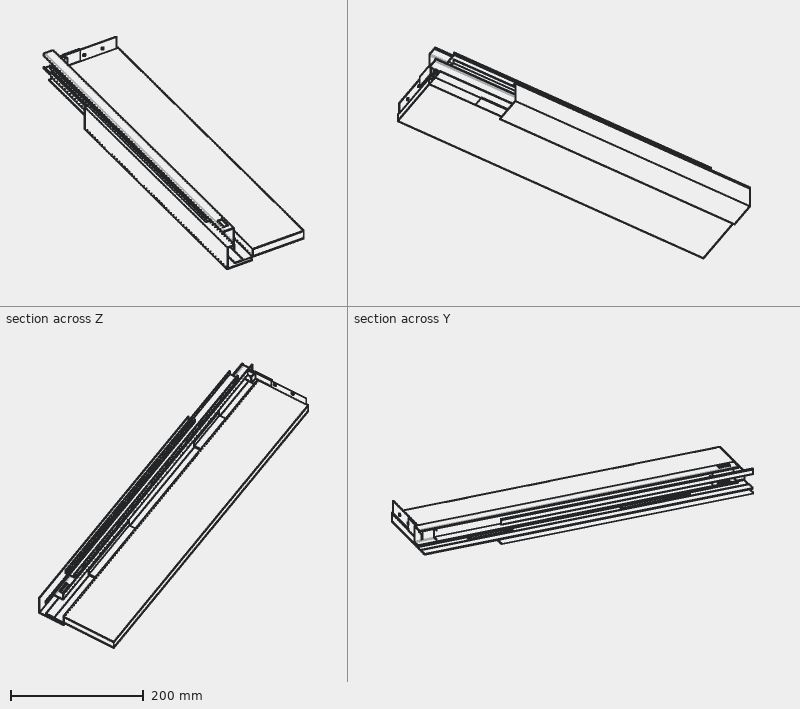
import cadquery as cq


SHEET = 1.5

BRACKET_X = (-140.0, 275.0)
BRACKET_OUTER_Y = -67.5
BRACKET_BOTTOM_Z = -26.0
BRACKET_TOP_Z = 15.5
BRACKET_FOOT_Y = -22.5
RUNNER_LEG_Y = -54.0
RUNNER_LEG_BOTTOM_Z = 6.0

MIDDLE_X = (-246.5, 208.5)
MIDDLE_WEB_Y = -46.0
MIDDLE_TOP_Z = 20.5
MIDDLE_BOTTOM_Z = 2.0
MIDDLE_LIP_Y = -64.0
MIDDLE_LIP_TOP_Z = 24.0
MIDDLE_LEG_Y = -62.5
MIDDLE_LEG_TOP_Z = 11.0

RAIL_X = (-276.0, 250.0)
RAIL_WEB_Y = -39.0
RAIL_LIP_Y = -58.0
RAIL_TOP_Z = 26.0
RAIL_BOTTOM_Z = -3.5
RAIL_LIP_HEIGHT = 4.0
RAIL_CORNER_RADIUS = 3.0
RAIL_INNER_RADIUS = RAIL_CORNER_RADIUS - SHEET

WINDOW_LENGTH = 18.0
WINDOW_END_DISTANCE = 10.0
WINDOW_Y = (-53.0, -44.0)
STOP_TAB_DEPTH = 1.5

TRAY_X = (-265.0, 276.0)
TRAY_BACK_Y = 67.5
TRAY_SIDE_Y = -23.0
TRAY_TOP_Z = -4.0
TRAY_BOTTOM_Z = -19.5
TRAY_GROOVE_Y = -39.0
TRAY_GROOVE_DEPTH = 1.0
TRAY_FLANGE_Y = -54.0

UPRIGHT_THICKNESS = 1.0
UPRIGHT_BACK_Y = 64.0
UPRIGHT_SIDE_Y = -28.5
UPRIGHT_TOP_Z = 17.5
HOLE_DIAMETER = 4.5
HOLE_Y = (7.5, 39.5)
HOLE_Z = 5.0

STOP_THICKNESS = 2.0
STOP_BACK_Y = 1.0
STOP_RETURN_X = -255.0
STOP_ARM_X = (-266.5, -262.0)
STOP_ARM_BOTTOM_Z = -0.5
STOP_ARM_STEP_Z = 9.5
STOP_ARM_STEP_DEPTH = 1.5
STOP_FOOT_Y = -34.0

LUG_RANGES_X = [(-183.5, -114.0), (67.5, 178.5)]
LUG_FOOT_TOP_Z = -15.5
LUG_TOP_Z = -6.0


def block(x_range, y_range, z_range):
    """Box between the given limits on each axis."""
    x_low, x_high = sorted(x_range)
    y_low, y_high = sorted(y_range)
    z_low, z_high = sorted(z_range)
    return cq.Workplane("XY").box(
        x_high - x_low, y_high - y_low, z_high - z_low, centered=False
    ).translate((x_low, y_low, z_low))


def extrude_section(points, x_range):
    """Prism along X from a closed outline of (y, z) points."""
    x_low, x_high = x_range
    return cq.Workplane("YZ", origin=(x_low, 0, 0)).polyline(points).close().extrude(x_high - x_low)


def bent_sheet(path, x_range):
    """Sheet with square bends whose one face follows the (y, z) path; the metal lies to its left."""
    normals = []
    for (y0, z0), (y1, z1) in zip(path, path[1:]):
        length = abs(y1 - y0) + abs(z1 - z0)
        normals.append(((z0 - z1) / length, (y1 - y0) / length))
    inner = []
    for i, (y, z) in enumerate(path):
        touching = set(normals[max(i - 1, 0):i + 1])
        inner.append((
            y + SHEET * sum(n[0] for n in touching),
            z + SHEET * sum(n[1] for n in touching),
        ))
    return extrude_section(path + inner[::-1], x_range)


def make_bracket():
    """Angle against the wall whose top is folded over into the fixed runner."""
    return bent_sheet(
        [
            (RUNNER_LEG_Y, RUNNER_LEG_BOTTOM_Z),
            (RUNNER_LEG_Y, BRACKET_TOP_Z),
            (BRACKET_OUTER_Y, BRACKET_TOP_Z),
            (BRACKET_OUTER_Y, BRACKET_BOTTOM_Z),
            (BRACKET_FOOT_Y, BRACKET_BOTTOM_Z),
        ],
        BRACKET_X,
    )


def make_middle_member():
    """Slide member that hooks the fixed runner from below and fills the moving rail."""
    flange_underside_z = MIDDLE_TOP_Z - SHEET
    return bent_sheet(
        [
            (MIDDLE_LEG_Y + SHEET, MIDDLE_LEG_TOP_Z),
            (MIDDLE_LEG_Y + SHEET, MIDDLE_BOTTOM_Z + SHEET),
            (MIDDLE_WEB_Y - SHEET, MIDDLE_BOTTOM_Z + SHEET),
            (MIDDLE_WEB_Y - SHEET, flange_underside_z),
            (MIDDLE_LIP_Y, flange_underside_z),
            (MIDDLE_LIP_Y, MIDDLE_LIP_TOP_Z),
        ][::-1],
        MIDDLE_X,
    )


def rail_window(face_z, inward):
    """Opening through a rail flange and the stop tab bent inward along its edge."""
    x_high = RAIL_X[1] - WINDOW_END_DISTANCE
    x_range = (x_high - WINDOW_LENGTH, x_high)
    inner_z = face_z + inward * SHEET
    opening = block(x_range, WINDOW_Y, (face_z, inner_z))
    tab_y = (WINDOW_Y[0], WINDOW_Y[0] + SHEET)
    tab = block(x_range, tab_y, (face_z, inner_z + inward * STOP_TAB_DEPTH))
    return opening, tab


def make_rail():
    """Moving rail with rounded bends and a stop window in each flange."""
    rail = bent_sheet(
        [
            (RAIL_LIP_Y, RAIL_BOTTOM_Z + RAIL_LIP_HEIGHT),
            (RAIL_LIP_Y, RAIL_BOTTOM_Z),
            (RAIL_WEB_Y, RAIL_BOTTOM_Z),
            (RAIL_WEB_Y, RAIL_TOP_Z),
            (RAIL_LIP_Y, RAIL_TOP_Z),
            (RAIL_LIP_Y, RAIL_TOP_Z - RAIL_LIP_HEIGHT),
        ],
        RAIL_X,
    )
    middle_x = sum(RAIL_X) / 2
    for inset, radius in ((0, RAIL_CORNER_RADIUS), (SHEET, RAIL_INNER_RADIUS)):
        for y in (RAIL_LIP_Y + inset, RAIL_WEB_Y - inset):
            for z in (RAIL_BOTTOM_Z + inset, RAIL_TOP_Z - inset):
                corner = cq.selectors.NearestToPointSelector((middle_x, y, z))
                rail = rail.edges("|X").edges(corner).fillet(radius)
    for face_z, inward in ((RAIL_TOP_Z, -1), (RAIL_BOTTOM_Z, 1)):
        opening, tab = rail_window(face_z, inward)
        rail = rail.cut(opening).union(tab)
    return rail


def make_lug(x_range):
    """Angle with its foot in the tray groove and its web on the flange beside it."""
    flange_top_z = TRAY_BOTTOM_Z + SHEET
    foot = block(x_range, (TRAY_SIDE_Y, TRAY_GROOVE_Y), (flange_top_z - TRAY_GROOVE_DEPTH, LUG_FOOT_TOP_Z))
    web = block(x_range, (TRAY_GROOVE_Y, TRAY_GROOVE_Y - SHEET), (flange_top_z, LUG_TOP_Z))
    return foot.union(web)


def make_core():
    """Board filling the space inside the tray sheet."""
    return block(
        TRAY_X,
        (TRAY_BACK_Y, TRAY_SIDE_Y + SHEET),
        (TRAY_BOTTOM_Z + SHEET, TRAY_TOP_Z - SHEET),
    )


def make_tray():
    """Sheet round the core with a grooved side flange and an upright plate at the front end."""
    flange_top_z = TRAY_BOTTOM_Z + SHEET
    groove_floor_z = flange_top_z - TRAY_GROOVE_DEPTH
    tray = extrude_section(
        [
            (TRAY_BACK_Y, TRAY_TOP_Z),
            (TRAY_SIDE_Y, TRAY_TOP_Z),
            (TRAY_SIDE_Y, groove_floor_z),
            (TRAY_GROOVE_Y, groove_floor_z),
            (TRAY_GROOVE_Y, flange_top_z),
            (TRAY_FLANGE_Y, flange_top_z),
            (TRAY_FLANGE_Y, TRAY_BOTTOM_Z),
            (TRAY_BACK_Y, TRAY_BOTTOM_Z),
        ],
        TRAY_X,
    ).cut(make_core())
    front_x = TRAY_X[0]
    upright = block(
        (front_x, front_x + UPRIGHT_THICKNESS),
        (UPRIGHT_SIDE_Y + SHEET, UPRIGHT_BACK_Y),
        (TRAY_TOP_Z, UPRIGHT_TOP_Z),
    )
    for y in HOLE_Y:
        hole = (
            cq.Workplane("YZ", origin=(front_x, y, HOLE_Z))
            .circle(HOLE_DIAMETER / 2)
            .extrude(UPRIGHT_THICKNESS)
        )
        upright = upright.cut(hole)
    return tray.union(upright)


def make_front_stop():
    """Plate in front of the upright with a stepped arm reaching the rail web."""
    upright_x = TRAY_X[0]
    front_x = upright_x - STOP_THICKNESS
    height = (TRAY_TOP_Z, UPRIGHT_TOP_Z)
    plate = block((front_x, upright_x), (UPRIGHT_SIDE_Y, STOP_BACK_Y), height)
    return_flange = block((front_x, STOP_RETURN_X), (UPRIGHT_SIDE_Y, UPRIGHT_SIDE_Y + SHEET), height)
    arm_front, arm_back = STOP_ARM_X
    arm_y = (UPRIGHT_SIDE_Y, RAIL_WEB_Y)
    upper_arm = block(STOP_ARM_X, arm_y, (STOP_ARM_STEP_Z, UPRIGHT_TOP_Z))
    lower_x = (arm_front + STOP_ARM_STEP_DEPTH, arm_back)
    lower_arm = block(lower_x, arm_y, (STOP_ARM_BOTTOM_Z, STOP_ARM_STEP_Z))
    foot = block(lower_x, (UPRIGHT_SIDE_Y, STOP_FOOT_Y), (TRAY_TOP_Z, STOP_ARM_BOTTOM_Z))
    return plate.union(return_flange).union(upper_arm).union(lower_arm).union(foot)


bracket = make_bracket()
middle_member = make_middle_member()
rail = make_rail()
tray = make_tray()
core = make_core()
front_stop = make_front_stop()
lugs = [make_lug(x_range) for x_range in LUG_RANGES_X]

result = cq.Compound.makeCompound(
    [
        bracket.val(),
        middle_member.val(),
        rail.val(),
        tray.val(),
        core.val(),
        front_stop.val(),
        *[lug.val() for lug in lugs],
    ]
)